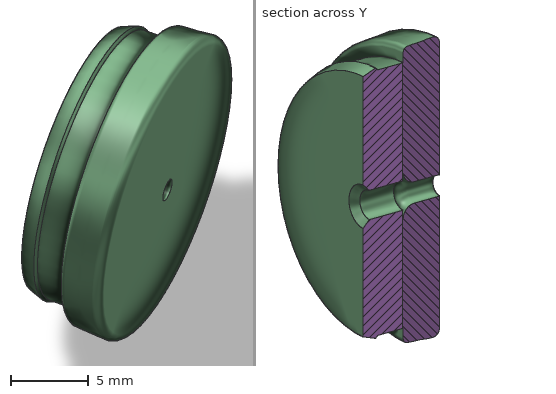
import cadquery as cq
import math

LENGTH = 6.2
BACK_X = LENGTH / 2
FRONT_X = -LENGTH / 2

FLANGE_RADIUS = 10.4
FLANGE_WIDTH = 2.97
FLANGE_TAPER = math.radians(4.0)
FLANGE_FRONT_FILLET = 0.4
FLANGE_BACK_FILLET = 0.55
FLANGE_FRONT_X = BACK_X - FLANGE_WIDTH

NECK_RADIUS = 9.2
BARB_TIP_RADIUS = 9.0
BARB_PEAK_RADIUS = 9.35
BARB_LEAD_LENGTH = 1.02
BARB_LENGTH = 1.2

PLUG_BORE_RADIUS = 1.0
COUNTERSINK_RADIUS = 1.5
COUNTERSINK_DEPTH = COUNTERSINK_RADIUS - PLUG_BORE_RADIUS
FLANGE_BORE_RADIUS = 0.73
FLANGE_BORE_FILLET = 0.92


def revolve_about_x(profile):
    """Revolve a closed XY profile, with Y as radius, about the X axis."""
    return profile.close().revolve(360, (0, 0, 0), (1, 0, 0))


def make_plug():
    """Barbed disc pierced by the countersunk bore."""
    profile = (
        cq.Workplane("XY")
        .moveTo(FRONT_X, COUNTERSINK_RADIUS)
        .lineTo(FRONT_X, BARB_TIP_RADIUS)
        .lineTo(FRONT_X + BARB_LEAD_LENGTH, BARB_PEAK_RADIUS)
        .lineTo(FRONT_X + BARB_LENGTH, NECK_RADIUS)
        .lineTo(FLANGE_FRONT_X, NECK_RADIUS)
        .lineTo(FLANGE_FRONT_X, PLUG_BORE_RADIUS)
        .lineTo(FRONT_X + COUNTERSINK_DEPTH, PLUG_BORE_RADIUS)
    )
    return revolve_about_x(profile)


def make_flange():
    """Disc widening toward its back face, with rounded rims and bore mouth."""
    fillet_center_radius = FLANGE_RADIUS - FLANGE_BACK_FILLET
    corner_offset = FLANGE_BACK_FILLET * (1 / math.cos(FLANGE_TAPER) + math.tan(FLANGE_TAPER))
    back_corner_radius = fillet_center_radius + corner_offset
    front_corner_radius = back_corner_radius - FLANGE_WIDTH * math.tan(FLANGE_TAPER)
    profile = (
        cq.Workplane("XY")
        .moveTo(FLANGE_FRONT_X, FLANGE_BORE_RADIUS)
        .lineTo(FLANGE_FRONT_X, front_corner_radius)
        .lineTo(BACK_X, back_corner_radius)
        .lineTo(BACK_X, FLANGE_BORE_RADIUS)
    )
    flange = revolve_about_x(profile)
    outer_rim = cq.selectors.RadiusNthSelector(-1)
    bore_rim = cq.selectors.RadiusNthSelector(0)
    flange = flange.faces("<X").edges(bore_rim).fillet(FLANGE_BORE_FILLET)
    flange = flange.faces("<X").edges(outer_rim).fillet(FLANGE_FRONT_FILLET)
    return flange.faces(">X").edges(outer_rim).fillet(FLANGE_BACK_FILLET)


plug = make_plug()
flange = make_flange()
result = cq.Compound.makeCompound([plug.val(), flange.val()])